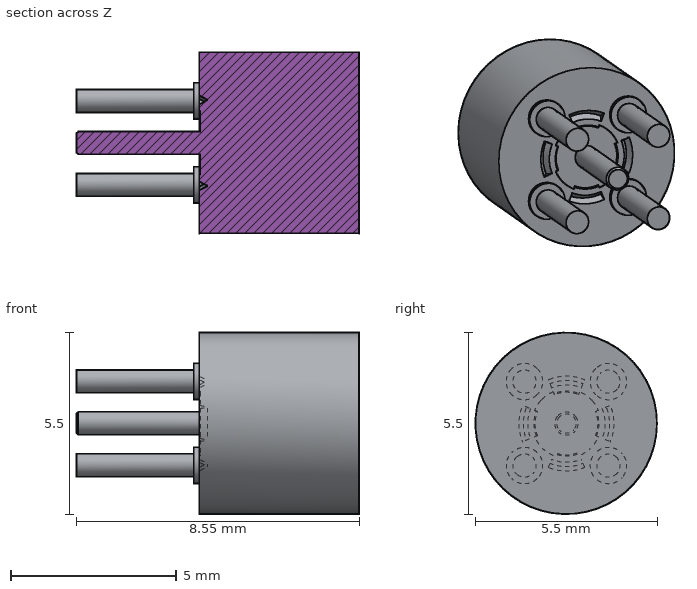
import cadquery as cq
import math

total_length = 8.55
pin_length = 3.71
body_length = total_length - pin_length
body_diameter = 5.5

pin_diameter = 0.7
pin_spacing = 2.54
center_pin_chamfer = 0.06
collar_diameter = 1.1
collar_height = 0.16

arc_angle = 45.0
groove_outer_radius = 1.44
groove_inner_radius = 1.17
groove_depth = 0.25

recess_radius = 1.04
recess_tapered_radius = 0.98
recess_floor_radius = 0.95
recess_depth = 0.03

quarter_turns = [0, 90, 180, 270]


def cylinder_x(diameter, start, end):
    """Cylinder along X between two X positions, centred on the part axis."""
    return cq.Workplane("YZ", origin=(start, 0, 0)).circle(diameter / 2).extrude(end - start)


def ring_sector(profile, middle_angle):
    """Sweep an (X, radius) profile about X through one arc, centred on an angle measured from +Y."""
    sector = cq.Workplane("XY").polyline(profile).close().revolve(arc_angle, (0, 0, 0), (1, 0, 0))
    return sector.rotate((0, 0, 0), (1, 0, 0), middle_angle - arc_angle / 2)


def make_groove(middle_angle):
    middle_radius = (groove_outer_radius + groove_inner_radius) / 2
    profile = [(0, groove_inner_radius), (0, groove_outer_radius), (groove_depth, middle_radius)]
    return ring_sector(profile, middle_angle)


def make_recess():
    profile = [(0, 0), (0, recess_tapered_radius), (recess_depth, recess_floor_radius), (recess_depth, 0)]
    recess = cq.Workplane("XY").polyline(profile).close().revolve(360, (0, 0, 0), (1, 0, 0))
    half_floor = recess_floor_radius / 2
    straight_profile = [
        (0, half_floor),
        (0, recess_radius),
        (recess_depth, recess_radius),
        (recess_depth, half_floor),
    ]
    for angle in quarter_turns:
        recess = recess.union(ring_sector(straight_profile, angle + arc_angle))
    return recess


def make_center_pin():
    pin = cylinder_x(pin_diameter, -pin_length, recess_depth)
    return pin.faces("<X").chamfer(center_pin_chamfer)


def make_corner_pin(angle):
    pin = cylinder_x(pin_diameter, -pin_length, 0)
    collar = cylinder_x(collar_diameter, -collar_height, 0)
    pin_circle_radius = pin_spacing / math.sqrt(2)
    offset_y = pin_circle_radius * math.cos(math.radians(angle))
    offset_z = pin_circle_radius * math.sin(math.radians(angle))
    return pin.union(collar).translate((0, offset_y, offset_z))


result = cylinder_x(body_diameter, 0, body_length).cut(make_recess())
for turn in quarter_turns:
    result = result.cut(make_groove(turn))
    result = result.union(make_corner_pin(turn + arc_angle))
result = result.union(make_center_pin())